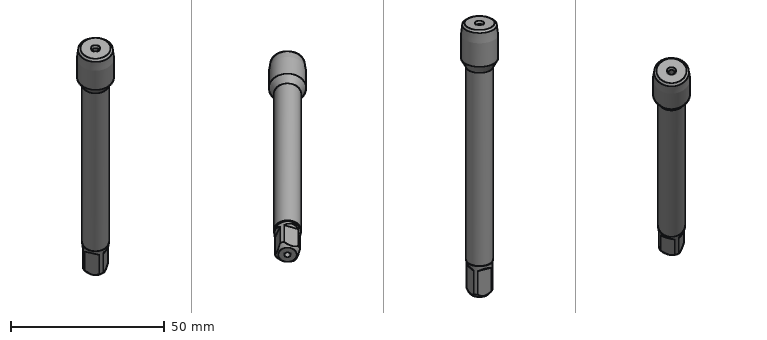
import cadquery as cq

length = 100.0
shaft_radius = 9.0 / 2
shaft_bottom = 12.4

head_radius = 12.2 / 2
head_top_radius = 5.7
top_face_radius = 4.9
top_chamfer_height = 0.7
taper_bottom = 95.7
head_bottom = 87.0
collar_radius = 4.7
collar_top = 84.5
collar_bottom = 83.9

drive_corner_radius = 8.6 / 2
drive_step_height = 0.3
drive_width = 7.0
drive_flat_top = 10.3
drive_chamfer_height = 1.6
drive_end_radius = 3.0

bore_diameter = 2.0
countersink_diameter = 3.0
countersink_angle = 60


def turned_body():
    """Revolve the radius-height half profile about Z."""
    profile = [
        (0, 0),
        (drive_end_radius, 0),
        (drive_corner_radius, drive_chamfer_height),
        (drive_corner_radius, shaft_bottom - drive_step_height),
        (shaft_radius, shaft_bottom),
        (shaft_radius, collar_bottom),
        (collar_radius, collar_top),
        (head_radius, head_bottom),
        (head_radius, taper_bottom),
        (head_top_radius, length - top_chamfer_height),
        (top_face_radius, length),
        (0, length),
    ]
    return cq.Workplane("XZ").polyline(profile).close().revolve(360, (0, 0), (0, 1))


def drive_flat_cutter(angle):
    """Cutter for one flat, ending in a 45 degree run-out at its top."""
    inner = drive_width / 2
    outer = head_radius
    profile = [
        (inner, 0),
        (outer, 0),
        (outer, drive_flat_top + outer - inner),
        (inner, drive_flat_top),
    ]
    cutter = cq.Workplane("XZ").polyline(profile).close().extrude(head_radius, both=True)
    return cutter.rotate((0, 0, 0), (0, 0, 1), angle)


result = turned_body()
for angle in (0, 90, 180, 270):
    result = result.cut(drive_flat_cutter(angle))

result = result.faces(">Z").workplane().cskHole(bore_diameter, countersink_diameter, countersink_angle)